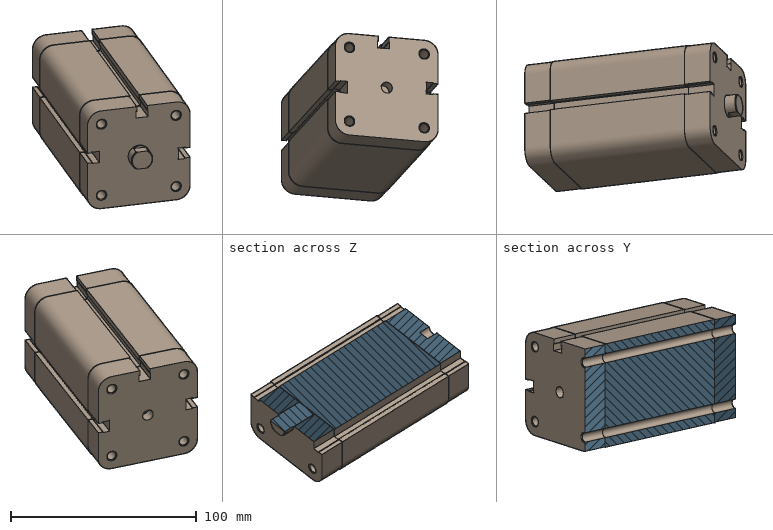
import cadquery as cq


total_length = 112.5
housing_length = 106.0
cap_length = 14.6
tube_length = housing_length - 2 * cap_length

tube_side = 58.0
tube_corner_radius = 8.0
cap_inset = 0.25
cap_side = tube_side - 2 * cap_inset
cap_corner_radius = tube_corner_radius - cap_inset

slot_offset = 1.8
slot_channel_width = 6.6
slot_lip_level = tube_side / 2 - 3.0
tube_slot_neck_width = 5.2
tube_slot_floor_level = tube_side / 2 - 6.5
cap_slot_neck_width = 5.8
cap_slot_floor_level = tube_side / 2 - 6.9
slot_angles = (0, 90, -90)

mount_spacing = 41.8
mount_hole_diameter = 5.0
mount_chamfer = 0.5

center_hole_diameter = 6.1
center_hole_depth = 6.8

rod_diameter = 12.0
rod_start = housing_length - cap_length
rod_end_chamfer = 0.5
flat_distance = 10.0
flat_start = housing_length + 1.4
flat_ramp_length = 0.5


def square_bar(x_start, length, side, corner_radius):
    return (
        cq.Workplane("YZ", origin=(x_start, 0, 0))
        .rect(side, side)
        .extrude(length)
        .edges("|X")
        .fillet(corner_radius)
    )


def t_slot(x_start, length, neck_width, floor_level):
    """T-slot cutter for the +Z face, shifted sideways from the mid-plane."""
    channel_height = slot_lip_level - floor_level
    neck_height = tube_side / 2 - slot_lip_level
    plane = cq.Workplane("YZ", origin=(x_start, slot_offset, 0))
    channel = (
        plane.center(0, floor_level + channel_height / 2)
        .rect(slot_channel_width, channel_height)
        .extrude(length)
    )
    neck = (
        plane.center(0, slot_lip_level + neck_height / 2)
        .rect(neck_width, neck_height)
        .extrude(length)
    )
    return channel.union(neck)


def cut_slots(body, x_start, length, neck_width, floor_level):
    slot = t_slot(x_start, length, neck_width, floor_level)
    for angle in slot_angles:
        body = body.cut(slot.rotate((0, 0, 0), (1, 0, 0), angle))
    return body


def mount_holes(x_start, length):
    return (
        cq.Workplane("YZ", origin=(x_start, 0, 0))
        .rect(mount_spacing, mount_spacing, forConstruction=True)
        .vertices()
        .circle(mount_hole_diameter / 2)
        .extrude(length)
    )


def make_tube():
    tube = square_bar(cap_length, tube_length, tube_side, tube_corner_radius)
    tube = cut_slots(tube, cap_length, tube_length, tube_slot_neck_width, tube_slot_floor_level)
    return tube.cut(mount_holes(cap_length, tube_length))


def mount_countersinks(x_face, inward):
    """45 degree cones at the mounting holes; inward is +1 or -1 along X."""
    wide_radius = mount_hole_diameter / 2 + mount_chamfer
    cone_height = wide_radius
    positions = (-mount_spacing / 2, mount_spacing / 2)
    return [
        cq.Solid.makeCone(wide_radius, 0, cone_height, cq.Vector(x_face, y, z), cq.Vector(inward, 0, 0))
        for y in positions
        for z in positions
    ]


def make_cap(x_start, x_outer_face, inward):
    """End cap whose mounting holes are chamfered on the outer face."""
    cap = square_bar(x_start, cap_length, cap_side, cap_corner_radius)
    cap = cut_slots(cap, x_start, cap_length, cap_slot_neck_width, cap_slot_floor_level)
    cap = cap.cut(mount_holes(x_start, cap_length))
    for countersink in mount_countersinks(x_outer_face, inward):
        cap = cap.cut(cq.Workplane(countersink))
    return cap


def make_rear_cap():
    center_hole = cq.Workplane("YZ").circle(center_hole_diameter / 2).extrude(center_hole_depth)
    return make_cap(0, 0, 1).cut(center_hole)


def make_front_cap():
    rod_hole = (
        cq.Workplane("YZ", origin=(rod_start, 0, 0))
        .circle(rod_diameter / 2)
        .extrude(cap_length)
    )
    return make_cap(rod_start, housing_length, -1).cut(rod_hole)


def make_rod():
    rod = (
        cq.Workplane("YZ", origin=(rod_start, 0, 0))
        .circle(rod_diameter / 2)
        .extrude(total_length - rod_start)
        .faces(">X")
        .chamfer(rod_end_chamfer)
    )
    upper_flat = (
        cq.Workplane("XZ")
        .moveTo(flat_start, flat_distance / 2)
        .lineTo(total_length, flat_distance / 2)
        .lineTo(total_length, rod_diameter / 2)
        .lineTo(flat_start - flat_ramp_length, rod_diameter / 2)
        .close()
        .extrude(rod_diameter / 2, both=True)
    )
    return rod.cut(upper_flat).cut(upper_flat.mirror("XY"))


rear_cap = make_rear_cap()
tube = make_tube()
front_cap = make_front_cap()
rod = make_rod()

result = cq.Compound.makeCompound([rear_cap.val(), tube.val(), front_cap.val(), rod.val()])